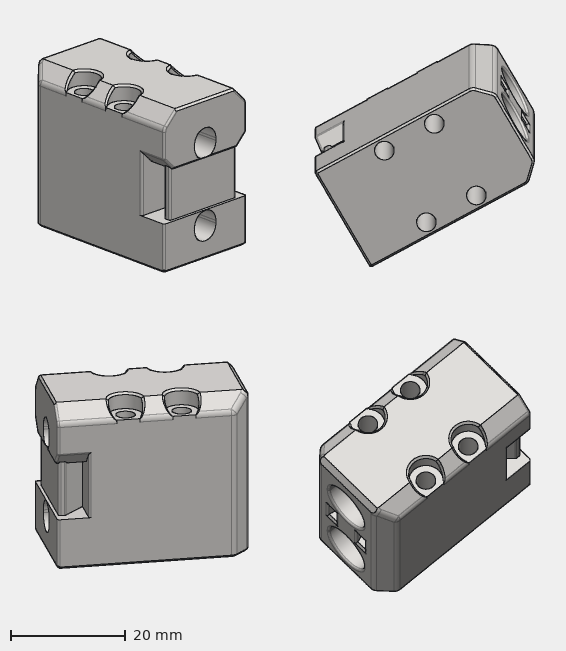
import cadquery as cq
LENGTH = 34.6
WIDTH = 20.0
HEIGHT = 30.0
HALF_WIDTH = WIDTH / 2

BEVEL = 3.0
BEVEL_BLEND = 1.5
FRONT_TOP_CHAMFER = 1.0
EDGE = 0.4
TOLERANCE = 0.01

SCREW_DIAMETER = 3.4
COUNTERBORE_DIAMETER = 6.0
COUNTERBORE_DEPTH = BEVEL
COUNTERBORE_LIP = 2.05
SCREW_X = (12.0, 22.0)
SCREW_Y = 7.5

BORE_MIDDLE_Z = 14.0
BORE_SPACING = 15.5
BORE_STRETCH = 0.5
BORE_WIDTH = 9.0
BORE_DEPTH = 25.0
THROUGH_WIDTH = 5.2

TIE_INNER_RADIUS = 2.6
TIE_OUTER_RADIUS = 4.8
TIE_HEIGHT = 4.0

STRAP_HEIGHT = 9.6
STRAP_BOTTOM = BORE_MIDDLE_Z - STRAP_HEIGHT / 2
STRAP_TOP = BORE_MIDDLE_Z + STRAP_HEIGHT / 2
RECESS_DEPTH = 0.6
RECESS_HALF_WIDTH = 8.0
POCKET_DEPTH = 5.6
POCKET_CORNER_X = LENGTH - 1.8
POCKET_ROOF_RISE = 2.4


def near(value, target):
    return abs(value - target) < TOLERANCE


def pick_edges(body, wanted):
    """Workplane on body holding every edge that passes the test on its bounding box."""
    return body.newObject([edge for edge in body.edges().vals() if wanted(edge.BoundingBox())])


def bevelled_prism(half_width):
    """Full-length prism whose upper sides follow the bevel planes down to the given half width."""
    top_half_width = HALF_WIDTH - BEVEL
    shoulder_z = HEIGHT - (half_width - top_half_width)
    return (
        cq.Workplane("YZ")
        .moveTo(-half_width, 0)
        .lineTo(half_width, 0)
        .lineTo(half_width, shoulder_z)
        .lineTo(top_half_width, HEIGHT)
        .lineTo(-top_half_width, HEIGHT)
        .lineTo(-half_width, shoulder_z)
        .close()
        .extrude(LENGTH)
    )


def top_end_wedge(end_x, inward_x):
    """Wedge that chamfers the top edge at one end of the block, from end_x to inward_x."""
    size = abs(inward_x - end_x)
    return (
        cq.Workplane("XZ")
        .moveTo(end_x, HEIGHT)
        .lineTo(inward_x, HEIGHT)
        .lineTo(end_x, HEIGHT - size)
        .close()
        .extrude(HALF_WIDTH, both=True)
    )


def bevelled_block():
    """Block with 45 degree bevels, rounded along the bevel borders and the mitres between bevels."""
    block = cq.Workplane("XY").box(LENGTH, WIDTH, HEIGHT, centered=(False, True, False))
    block = block.edges("<X and |Z").chamfer(BEVEL).intersect(bevelled_prism(HALF_WIDTH))

    def borders_bevel(box):
        front_upright = box.zlen > HEIGHT / 2 and box.xmax < BEVEL + TOLERANCE
        bevel_foot = near(box.zmin, HEIGHT - BEVEL) and near(box.zmax, HEIGHT - BEVEL) and box.xlen > BEVEL
        mitre = min(box.xlen, box.ylen, box.zlen) > BEVEL - TOLERANCE
        return front_upright or bevel_foot or mitre

    block = pick_edges(block, borders_bevel).fillet(BEVEL_BLEND)
    return block.faces("<Z").edges().chamfer(EDGE)


def strap_recess():
    """Shallow rear recess joining two side pockets with slanted inner walls and 45 degree roofs."""
    core_x = LENGTH - RECESS_DEPTH
    pocket_x = LENGTH - POCKET_DEPTH
    tip_y = RECESS_HALF_WIDTH - (POCKET_CORNER_X - pocket_x)
    plan = (
        cq.Workplane("XY")
        .moveTo(LENGTH, HALF_WIDTH)
        .lineTo(pocket_x, HALF_WIDTH)
        .lineTo(pocket_x, tip_y)
        .lineTo(POCKET_CORNER_X, RECESS_HALF_WIDTH)
        .lineTo(core_x, RECESS_HALF_WIDTH)
        .lineTo(core_x, -RECESS_HALF_WIDTH)
        .lineTo(POCKET_CORNER_X, -RECESS_HALF_WIDTH)
        .lineTo(pocket_x, -tip_y)
        .lineTo(pocket_x, -HALF_WIDTH)
        .lineTo(LENGTH, -HALF_WIDTH)
        .close()
        .extrude(HEIGHT)
    )

    def core_upright(box):
        return box.zlen > HEIGHT / 2 and near(max(abs(box.ymin), abs(box.ymax)), RECESS_HALF_WIDTH)

    plan = pick_edges(plan, core_upright).fillet(EDGE)
    flat_roof_y = HALF_WIDTH - POCKET_ROOF_RISE
    section = (
        cq.Workplane("YZ")
        .moveTo(-HALF_WIDTH, STRAP_BOTTOM)
        .lineTo(HALF_WIDTH, STRAP_BOTTOM)
        .lineTo(HALF_WIDTH, STRAP_TOP + POCKET_ROOF_RISE)
        .lineTo(flat_roof_y, STRAP_TOP)
        .lineTo(-flat_roof_y, STRAP_TOP)
        .lineTo(-HALF_WIDTH, STRAP_TOP + POCKET_ROOF_RISE)
        .close()
        .extrude(LENGTH)
    )
    return plan.intersect(section)


def finish_rear(body):
    """Chamfer the recess ceiling edge, and round the rear side edges and the pocket mouths."""
    pocket_x = LENGTH - POCKET_DEPTH
    mouth_top = STRAP_TOP + POCKET_ROOF_RISE

    def ceiling(box):
        return box.zlen < TOLERANCE and near(box.xmin, LENGTH) and near(box.zmin, STRAP_TOP)

    def rounded(box):
        on_rear = near(box.xmin, LENGTH)
        on_side = near(abs(box.ymin), HALF_WIDTH) and box.ylen < TOLERANCE
        rear_side = on_rear and box.zlen > TOLERANCE
        mouth_upright = on_side and near(box.xmax, pocket_x)
        mouth_roof = on_side and near(box.zmin, mouth_top) and box.zlen < TOLERANCE
        in_base_chamfer = near(box.zmin, 0) and near(box.zmax, EDGE)
        base_corner = in_base_chamfer and near(box.xmax, LENGTH) and box.ylen < EDGE + TOLERANCE
        return rear_side or base_corner or mouth_upright or mouth_roof

    body = pick_edges(body, ceiling).chamfer(EDGE)
    return pick_edges(body, rounded).fillet(EDGE)


def bore(middle_z, width, depth):
    """Bore along X from the front face, slightly taller than wide."""
    profile = cq.Workplane("YZ").center(0, middle_z)
    return profile.slot2D(width + BORE_STRETCH, width, 90).extrude(depth)


def cut_bores(body):
    """Cut both stepped bores: wide from the front, narrow right through."""
    for side in (-1, 1):
        middle_z = BORE_MIDDLE_Z + side * BORE_SPACING / 2
        body = body.cut(bore(middle_z, BORE_WIDTH, BORE_DEPTH))
        body = body.cut(bore(middle_z, THROUGH_WIDTH, LENGTH))
    return body


def tie_channel():
    """Half ring in plan, opening at both ends in the front face."""
    ring = (
        cq.Workplane("XY", origin=(0, 0, BORE_MIDDLE_Z - TIE_HEIGHT / 2))
        .circle(TIE_OUTER_RADIUS)
        .circle(TIE_INNER_RADIUS)
        .extrude(TIE_HEIGHT)
    )
    keep = cq.Workplane("XY").box(LENGTH, WIDTH, HEIGHT, centered=(False, True, False))
    return ring.intersect(keep)


def finish_front(body):
    """Round the bore mouths and window sides; chamfer the window tops and bottoms."""
    window_low = BORE_MIDDLE_Z - TIE_HEIGHT / 2
    window_high = BORE_MIDDLE_Z + TIE_HEIGHT / 2

    def on_front(box):
        return box.xmax < TOLERANCE and max(abs(box.ymin), abs(box.ymax)) < HALF_WIDTH / 2

    def level_window_edge(box):
        return on_front(box) and box.zlen < TOLERANCE and window_low - EDGE < box.zmin < window_high + EDGE

    body = pick_edges(body, level_window_edge).chamfer(EDGE)
    return pick_edges(body, lambda box: on_front(box) and box.zlen > TOLERANCE).fillet(EDGE)


def screw_positions():
    return [(x, side * SCREW_Y) for x in SCREW_X for side in (-1, 1)]


def counterbores():
    """Counterbore volumes, each flared by a chamfer that follows the top face and the bevel."""
    radius = COUNTERBORE_DIAMETER / 2
    reach = SCREW_Y + radius + 2 * EDGE
    whole = bevelled_prism(reach)
    drilled = whole.cut(cq.Workplane("XY").pushPoints(screw_positions()).circle(radius).extrude(HEIGHT))

    def upper_rim(box):
        beside_hole = EDGE < box.xmin and box.xmax < LENGTH - EDGE
        above_base = box.zmin > TOLERANCE
        curved = box.xlen > EDGE and box.ylen > EDGE
        return beside_hole and above_base and curved

    flared = pick_edges(drilled, upper_rim).chamfer(EDGE)
    floor_z = HEIGHT - COUNTERBORE_DEPTH
    above_floor = cq.Workplane("XY", origin=(0, 0, floor_z)).rect(2 * LENGTH, 2 * reach).extrude(HEIGHT)
    return whole.cut(flared).intersect(above_floor)


def counterbore_lips():
    """Blocks that keep the side wall square up to the floor of each open counterbore."""
    lip_z = HEIGHT - COUNTERBORE_DEPTH - EDGE
    lips = cq.Workplane("XY")
    for x in SCREW_X:
        for side in (-1, 1):
            lip = cq.Workplane("XY", origin=(x, side * (HALF_WIDTH - EDGE), lip_z))
            lips = lips.union(lip.box(2 * COUNTERBORE_LIP, 2 * EDGE, 2 * EDGE))
    return lips


def screw_holes():
    return cq.Workplane("XY").pushPoints(screw_positions()).circle(SCREW_DIAMETER / 2).extrude(HEIGHT)


result = bevelled_block().cut(strap_recess())
result = finish_rear(result)
result = result.cut(top_end_wedge(0, FRONT_TOP_CHAMFER))
result = result.cut(top_end_wedge(LENGTH, LENGTH - EDGE))
result = cut_bores(result).cut(tie_channel())
result = finish_front(result)
result = result.union(counterbore_lips()).cut(counterbores()).cut(screw_holes())